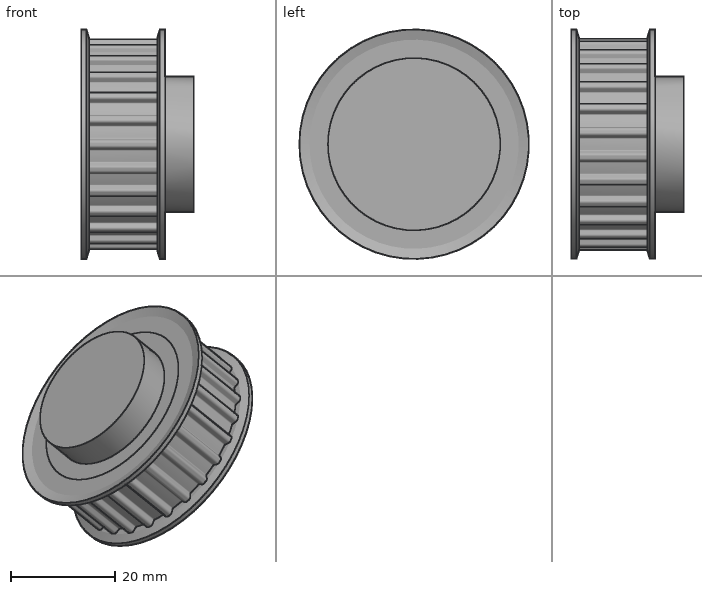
import cadquery as cq
import math

TOOTHED_WIDTH = 13.0
FLANGE_THICKNESS = 1.0
DISH_DEPTH = 0.55
HUB_END = 21.55

FLANGE_DIAMETER = 44
DISH_DIAMETER = 40.05
SPIGOT_DIAMETER = 33
HUB_DIAMETER = 26.0
TIP_DIAMETER = 40.5
ROOT_DIAMETER = 38.1

TOOTH_COUNT = 26
TIP_WIDTH = 1.28
FLANK_ANGLE = 20
TIP_FILLET = 0.55
ROOT_FILLET = 0.25

TEETH_START = DISH_DEPTH + FLANGE_THICKNESS
TEETH_END = TEETH_START + TOOTHED_WIDTH
TEETH_MIDDLE = (TEETH_START + TEETH_END) / 2
SECOND_SPIGOT_END = TEETH_END + FLANGE_THICKNESS

TIP_RADIUS = TIP_DIAMETER / 2
ROOT_RADIUS = ROOT_DIAMETER / 2


def disc(diameter, start, end):
    """Solid cylinder about the X axis between two X positions."""
    return cq.Workplane("YZ", origin=(start, 0, 0)).circle(diameter / 2).extrude(end - start)


def make_tooth():
    """One tapered tooth at +Y, sunk into the drum and left long at the tip."""
    inner = ROOT_RADIUS - ROOT_FILLET
    outer = TIP_RADIUS + TIP_FILLET
    taper = math.tan(math.radians(FLANK_ANGLE))
    inner_half = TIP_WIDTH / 2 + (TIP_RADIUS - inner) * taper
    outer_half = TIP_WIDTH / 2 - (outer - TIP_RADIUS) * taper
    outline = [(inner, -inner_half), (outer, -outer_half), (outer, outer_half), (inner, inner_half)]
    return cq.Workplane("YZ", origin=(TEETH_START, 0, 0)).polyline(outline).close().extrude(TOOTHED_WIDTH)


def distance_from_axis(edge):
    """Distance of the middle of an edge from the X axis."""
    middle = edge.Center()
    return math.hypot(middle.y, middle.z)


def is_root_edge(edge):
    """Whether an edge lies nearer to the root cylinder than to the tip cylinder."""
    return distance_from_axis(edge) < (ROOT_RADIUS + TIP_RADIUS) / 2


def is_tip_edge(edge):
    return not is_root_edge(edge)


def make_toothed_drum():
    """Drum with evenly spaced teeth, rounded at the tips and the roots."""
    drum = disc(ROOT_DIAMETER, TEETH_START, TEETH_END)
    tooth = make_tooth().intersect(disc(TIP_DIAMETER, TEETH_START, TEETH_END))
    for index in range(TOOTH_COUNT):
        drum = drum.union(tooth.rotate((0, 0, 0), (1, 0, 0), index * 360 / TOOTH_COUNT))

    drum = drum.edges("|X").filter(is_tip_edge).fillet(TIP_FILLET)
    return drum.edges("|X").filter(is_root_edge).fillet(ROOT_FILLET)


def make_pulley():
    """Toothed drum with a spigot for each flange and a hub on the +X side."""
    first_spigot = disc(SPIGOT_DIAMETER, DISH_DEPTH, TEETH_START)
    second_spigot = disc(SPIGOT_DIAMETER, TEETH_END, SECOND_SPIGOT_END)
    hub = disc(HUB_DIAMETER, SECOND_SPIGOT_END, HUB_END)
    return make_toothed_drum().union(first_spigot).union(second_spigot).union(hub)


def make_flange():
    """Ring on the -X side with its rim dished away from the teeth."""
    seat_radius = SPIGOT_DIAMETER / 2
    rim_radius = FLANGE_DIAMETER / 2
    half_section = [
        (DISH_DEPTH, seat_radius),
        (DISH_DEPTH, DISH_DIAMETER / 2),
        (0, rim_radius),
        (FLANGE_THICKNESS, rim_radius),
        (TEETH_START, TIP_RADIUS),
        (TEETH_START, seat_radius),
    ]
    return cq.Workplane("XY").polyline(half_section).close().revolve(360, (0, 0, 0), (1, 0, 0))


pulley = make_pulley()
first_flange = make_flange()
second_flange = first_flange.mirror("YZ", (TEETH_MIDDLE, 0, 0))

result = cq.Compound.makeCompound([pulley.val(), first_flange.val(), second_flange.val()])